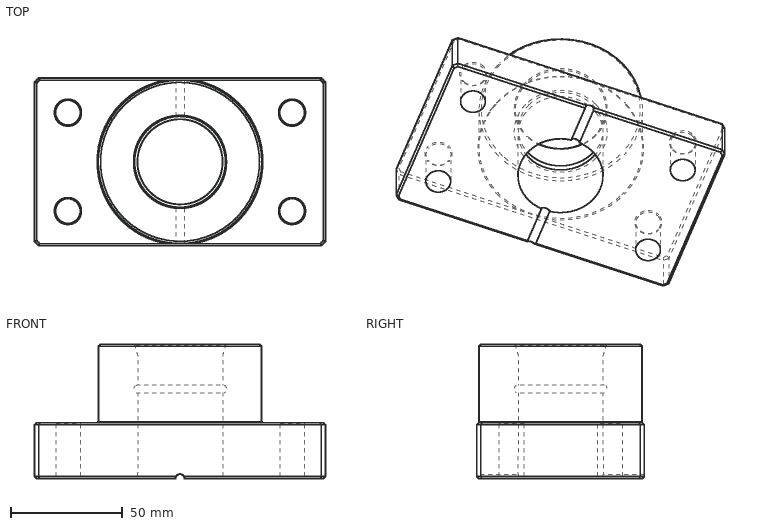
import cadquery as cq

base_length = 130.0
base_width = 75.0
base_height = 25.0
total_height = 60.0
edge_chamfer = 1.0
corner_chamfer = 2.0

boss_radius = base_width / 2 - edge_chamfer
root_fillet = 0.5

bore_radius = 19.0
taper_radius = 20.3
taper_depth = 5.0
mouth_chamfer = 0.5
ring_groove_radius = 1.8
ring_groove_depth = 20.0

hole_diameter = 11.0
hole_chamfer = 0.5
hole_chamfer_angle = 90
hole_spacing_x = 100.1
hole_spacing_y = 44.0

bottom_groove_radius = 2.0


def make_base():
    """Rectangular flange with every outer edge chamfered."""
    block = cq.Workplane("XY").box(base_length, base_width, base_height, centered=(True, True, False))
    block = block.edges("|Z").chamfer(corner_chamfer)
    return block.faces("<Z or >Z").edges().chamfer(edge_chamfer)


def make_boss():
    """Cylinder with a chamfered top and a small concave fillet at its root."""
    cylinder = (
        cq.Workplane("XY")
        .circle(boss_radius)
        .extrude(total_height)
        .faces(">Z")
        .edges()
        .chamfer(edge_chamfer)
    )
    root = (
        cq.Workplane("XZ")
        .moveTo(0, base_height)
        .lineTo(boss_radius + root_fillet, base_height)
        .radiusArc((boss_radius, base_height + root_fillet), root_fillet)
        .lineTo(0, base_height + root_fillet)
        .close()
        .revolve(360, (0, 0, 0), (0, 1, 0))
    )
    base_top = (
        cq.Workplane("XY")
        .rect(base_length - 2 * edge_chamfer, base_width - 2 * edge_chamfer)
        .extrude(total_height)
    )
    return cylinder.union(root.intersect(base_top))


def make_bore():
    """Revolved cutter for the through bore, its mouth and the ring groove."""
    groove_z = total_height - ring_groove_depth
    return (
        cq.Workplane("XZ")
        .lineTo(bore_radius, 0)
        .lineTo(bore_radius, groove_z - ring_groove_radius)
        .threePointArc(
            (bore_radius + ring_groove_radius, groove_z),
            (bore_radius, groove_z + ring_groove_radius),
        )
        .lineTo(bore_radius, total_height - taper_depth)
        .lineTo(taper_radius, total_height - mouth_chamfer)
        .lineTo(taper_radius + mouth_chamfer, total_height)
        .lineTo(0, total_height)
        .close()
        .revolve(360, (0, 0, 0), (0, 1, 0))
    )


def cut_mounting_holes(body):
    """Four through holes with chamfered upper rims."""
    return (
        body.faces(">Z")
        .workplane()
        .rect(hole_spacing_x, hole_spacing_y, forConstruction=True)
        .vertices()
        .cskHole(hole_diameter, hole_diameter + 2 * hole_chamfer, hole_chamfer_angle)
    )


def make_bottom_groove():
    """Round bar along Y that cuts the groove in the underside."""
    return cq.Workplane("XZ").circle(bottom_groove_radius).extrude(base_width / 2, both=True)


flange = cut_mounting_holes(make_base())
result = flange.union(make_boss()).cut(make_bore()).cut(make_bottom_groove())